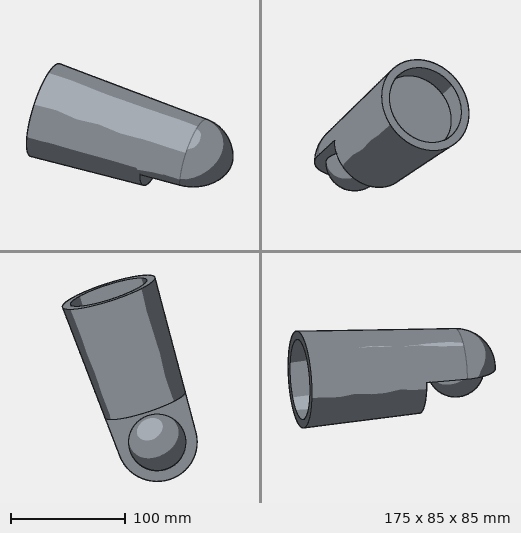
import cadquery as cq
import math

total_length = 175.0
base_radius = 42.5
nose_radius = 35.0
nose_center_x = total_length - nose_radius

socket_radius = nose_radius
socket_depth = 20.0
cutaway_start_x = 105.0
ball_radius = 25.0


def make_body():
    """Revolve a tapered profile whose side runs tangent into the nose."""
    center_distance = math.hypot(nose_center_x, base_radius)
    taper_angle = math.atan2(base_radius, nose_center_x) - math.asin(nose_radius / center_distance)
    tangent_x = nose_center_x + nose_radius * math.sin(taper_angle)
    tangent_radius = nose_radius * math.cos(taper_angle)
    arc_offset = nose_radius * math.sqrt(0.5)
    return (
        cq.Workplane("XY")
        .moveTo(0, 0)
        .lineTo(0, base_radius)
        .lineTo(tangent_x, tangent_radius)
        .threePointArc((nose_center_x + arc_offset, arc_offset), (total_length, 0))
        .close()
        .revolve(360, (0, 0, 0), (1, 0, 0))
    )


def make_socket():
    return cq.Workplane("YZ").circle(socket_radius).extrude(socket_depth)


def make_cutaway():
    """Block that removes the lower half of the body's front end."""
    return (
        cq.Workplane("XY")
        .box(total_length, 2 * base_radius, base_radius, centered=(False, True, False))
        .translate((cutaway_start_x, 0, -base_radius))
    )


def make_ball():
    """Ball centred on the body axis; its upper half merges into the body."""
    return cq.Workplane("XY").sphere(ball_radius).translate((nose_center_x, 0, 0))


result = make_body().cut(make_socket()).cut(make_cutaway()).union(make_ball())